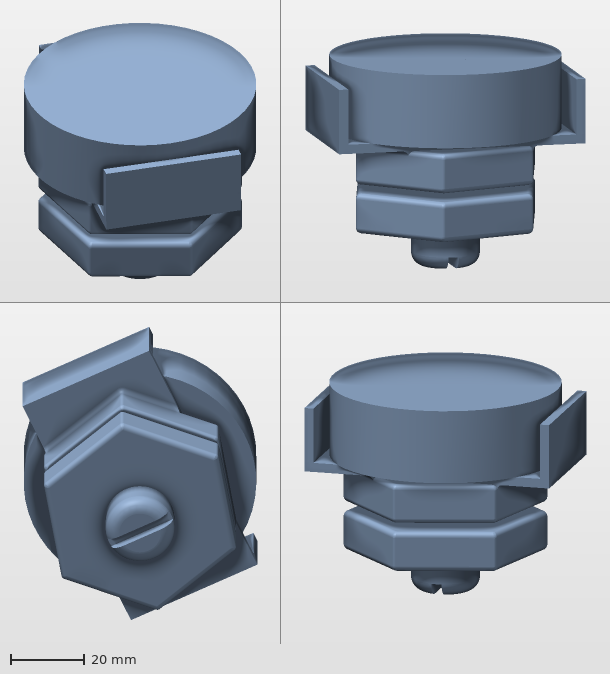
import cadquery as cq

head_diameter = 63.5
head_height = 20.3

bracket_length = 69.35
ear_width = 38.2
sheet_thickness = 2.6
plate_inset = 0.035
ear_height = 15.3

hex_circumradius = 27.95
hex_turn = 15.0
hex_corner_radius = 1.0
hex_edge_radius = 1.5
boss_edge_radius = 1.4
boss_height = 10.9
nut_height = 11.1
nut_gap = 2.5

pin_diameter = 18.8
pin_end_radius = 3.75
slot_width = 2.9
slot_depth = 3.7
overall_height = 58.45

selection_margin = 0.1

plate_width = ear_width - 2 * plate_inset

head_top = sheet_thickness + head_height
boss_bottom = -boss_height
nut_bottom = boss_bottom - nut_gap - nut_height
pin_bottom = head_top - overall_height


def hex_prism(bottom, height):
    """Turned hexagonal prism with rounded upright corners."""
    return (
        cq.Workplane("XY")
        .polygon(6, 2 * hex_circumradius)
        .extrude(height)
        .edges("|Z")
        .fillet(hex_corner_radius)
        .rotate((0, 0, 0), (0, 0, 1), hex_turn)
        .translate((0, 0, bottom))
    )


def cylinder(diameter, bottom, top):
    """Upright cylinder on the Z axis between two levels."""
    return cq.Workplane("XY").workplane(offset=bottom).circle(diameter / 2).extrude(top - bottom)


def block(length, width, bottom, height):
    """Box centred on the Z axis, standing on the given level."""
    return cq.Workplane("XY").workplane(offset=bottom).rect(length, width).extrude(height)


pin_bore = cylinder(pin_diameter, pin_bottom, head_top)


def make_head():
    return cylinder(head_diameter, sheet_thickness, head_top).cut(pin_bore)


def make_boss():
    """Hexagonal boss: flared into the plate under it, rounded over where it overhangs the plate."""
    boss = hex_prism(boss_bottom, boss_height).faces("<Z").edges().fillet(boss_edge_radius)
    rounded_boss = boss.faces(">Z").edges().fillet(boss_edge_radius)

    slab = block(bracket_length, bracket_length, 0, sheet_thickness)
    junction = cq.selectors.BoxSelector(
        (-hex_circumradius, -hex_circumradius, -selection_margin),
        (hex_circumradius, hex_circumradius, selection_margin),
    )
    flared_boss = boss.union(slab).edges(junction).fillet(boss_edge_radius)
    under_plate = block(bracket_length, plate_width, boss_bottom, boss_height)
    return rounded_boss.union(flared_boss.intersect(under_plate))


def make_bracket():
    """U-shaped bracket with its hexagonal boss; the ears stand just proud of the plate edges."""
    plate = block(bracket_length, plate_width, 0, sheet_thickness)
    inner_length = bracket_length - 2 * sheet_thickness
    ears = block(bracket_length, ear_width, sheet_thickness, ear_height)
    ears = ears.cut(block(inner_length, ear_width, sheet_thickness, ear_height))
    return plate.union(ears).union(make_boss()).cut(pin_bore)


def make_nut():
    nut = hex_prism(nut_bottom, nut_height)
    nut = nut.faces("<Z or >Z").edges().fillet(hex_edge_radius)
    return nut.cut(pin_bore)


def make_pin():
    """Pin through all other bodies, with a rounded, slotted lower end."""
    pin = pin_bore.faces("<Z").edges().fillet(pin_end_radius)
    return pin.cut(block(slot_width, pin_diameter, pin_bottom, slot_depth))


head = make_head()
bracket = make_bracket()
nut = make_nut()
pin = make_pin()

result = cq.Compound.makeCompound([head.val(), bracket.val(), nut.val(), pin.val()])